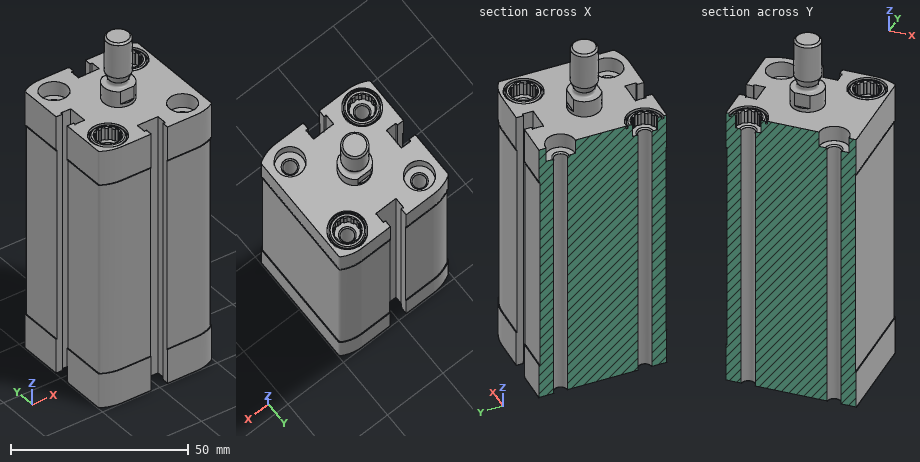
import cadquery as cq
import math

cap_width = 39.5
housing_height = 89.8
cap_height = 11.9
barrel_inset = 0.25

corner_arc_radius = 12.7
corner_arc_start = 13.0
cap_edge_fillet = 0.75
barrel_edge_fillet = 1.1

slot_mouth_width = 5.7
slot_inner_width = 7.2
side_slot_mouth_width = 5.3
side_slot_inner_width = 6.7
slot_depth = 5.6
slot_lip_depth = 2.25

hole_offset = 13.0
thread_bore_diameter = 4.13
thread_chamfer_diameter = 5.0
counterbore_diameter = 9.0
counterbore_depth = 4.8

groove_outer_diameter = 11.5
groove_inner_diameter = 10.5
groove_depth = 1.0
screw_head_chamfer = 0.4
spline_major_diameter = 7.94
spline_minor_diameter = 7.5
spline_lands = 12
spline_land_angle = 16.0
spline_entry_diameter = 8.4
spline_depth = 4.4

collar_diameter = 10.0
collar_height = 5.5
flat_across = 8.8
flat_start = 1.2
thread_diameter = 8.0
thread_length = 16.0
thread_tip_chamfer = 0.6
neck_diameter = 6.1
neck_length = 1.65
neck_fillet = 0.7
neck_cone_length = 2.35

half_cap = cap_width / 2


def rounded_prism(inset, edge_fillet, bottom, height):
    """Square column whose +Y and -Y faces roll off in large arcs towards the X faces."""
    half = half_cap - inset
    radius = corner_arc_radius - inset
    run = half - corner_arc_start
    arc_end = half - radius + math.sqrt(radius**2 - run**2)
    mid_angle = math.asin(run / radius) / 2
    mid_x = corner_arc_start + radius * math.sin(mid_angle)
    mid_y = half - radius + radius * math.cos(mid_angle)
    prism = (
        cq.Workplane("XY", origin=(0, 0, bottom))
        .moveTo(-corner_arc_start, half)
        .lineTo(corner_arc_start, half)
        .threePointArc((mid_x, mid_y), (half, arc_end))
        .lineTo(half, -arc_end)
        .threePointArc((mid_x, -mid_y), (corner_arc_start, -half))
        .lineTo(-corner_arc_start, -half)
        .threePointArc((-mid_x, -mid_y), (-half, -arc_end))
        .lineTo(-half, arc_end)
        .threePointArc((-mid_x, mid_y), (-corner_arc_start, half))
        .close()
        .extrude(height)
    )
    side_edges = prism.faces("<X or >X").edges("|Z")
    return side_edges.fillet(edge_fillet)


def t_slot(angle, mouth_width, inner_width):
    """Full-height cutter for one T-slot; angle 0 puts it on the -Y face."""
    outer_face = -half_cap
    lip = outer_face + slot_lip_depth
    floor = outer_face + slot_depth
    cutter = (
        cq.Workplane("XY")
        .moveTo(mouth_width / 2, outer_face)
        .lineTo(mouth_width / 2, lip)
        .lineTo(inner_width / 2, lip)
        .lineTo(inner_width / 2, floor)
        .lineTo(0, floor)
        .lineTo(0, outer_face)
        .close()
        .extrude(housing_height)
    )
    cutter = cutter.union(cutter.mirror("YZ"))
    return cutter.rotate((0, 0, 0), (0, 0, 1), angle)


def cylinder(diameter, bottom, top):
    return cq.Workplane("XY", origin=(0, 0, bottom)).circle(diameter / 2).extrude(top - bottom)


def cone(bottom_diameter, top_diameter, bottom, top):
    height = top - bottom
    solid = cq.Solid.makeCone(bottom_diameter / 2, top_diameter / 2, height, cq.Vector(0, 0, bottom))
    return cq.Workplane(obj=solid)


def threaded_bore(floor):
    """Through bore with a 45 degree chamfer at the given floor height."""
    chamfer = (thread_chamfer_diameter - thread_bore_diameter) / 2
    bore = cylinder(thread_bore_diameter, 0, floor)
    return bore.union(cone(thread_bore_diameter, thread_chamfer_diameter, floor - chamfer, floor))


def plain_hole():
    floor = housing_height - counterbore_depth
    return threaded_bore(floor).union(cylinder(counterbore_diameter, floor, housing_height))


def spline_socket(floor):
    """Twelve-land socket: a minor bore with keyways out to the major diameter."""
    socket = cylinder(spline_minor_diameter, floor, housing_height)
    blank = cylinder(spline_major_diameter, floor, housing_height)
    land_pitch = 360 / spline_lands
    key_width = spline_major_diameter * math.sin(math.radians(spline_land_angle / 2))
    key_bar = cq.Workplane("XY", origin=(0, 0, floor)).rect(2 * spline_major_diameter, key_width)
    key_bar = key_bar.extrude(spline_depth)
    for index in range(spline_lands // 2):
        bar_angle = (index + 0.5) * land_pitch
        socket = socket.union(blank.intersect(key_bar.rotate((0, 0, 0), (0, 0, 1), bar_angle)))
    return socket


def bearing_screw_hole():
    """Splined socket in a chamfered head, with a ring groove around the head."""
    floor = housing_height - spline_depth
    groove_floor = housing_height - groove_depth
    head = cylinder(groove_inner_diameter, groove_floor, housing_height).faces(">Z").chamfer(screw_head_chamfer)
    groove = cylinder(groove_outer_diameter, groove_floor, housing_height).cut(head)
    entry_depth = (spline_entry_diameter - spline_minor_diameter) / 2
    entry = cone(spline_minor_diameter, spline_entry_diameter, housing_height - entry_depth, housing_height)
    return threaded_bore(floor).union(spline_socket(floor)).union(entry).union(groove)


def build_housing():
    top_cap_bottom = housing_height - cap_height
    housing = (
        rounded_prism(0, cap_edge_fillet, 0, cap_height)
        .union(rounded_prism(barrel_inset, barrel_edge_fillet, cap_height, top_cap_bottom - cap_height))
        .union(rounded_prism(0, cap_edge_fillet, top_cap_bottom, cap_height))
    )
    for angle in (0, 180):
        housing = housing.cut(t_slot(angle, slot_mouth_width, slot_inner_width))
    housing = housing.cut(t_slot(-90, side_slot_mouth_width, side_slot_inner_width))
    for side in (-1, 1):
        housing = housing.cut(plain_hole().translate((side * hole_offset, -side * hole_offset, 0)))
        housing = housing.cut(bearing_screw_hole().translate((side * hole_offset, side * hole_offset, 0)))
    return housing


def build_rod():
    """Piston rod end standing on the housing: collar with flats, neck and thread."""
    collar_top = housing_height + collar_height
    neck_top = collar_top + neck_length
    cone_top = neck_top + neck_cone_length
    thread_top = collar_top + thread_length
    wrench_flats = (
        cq.Workplane("XY", origin=(0, 0, housing_height + flat_start))
        .rect(collar_diameter, flat_across)
        .extrude(collar_height - flat_start)
    )
    foot = cylinder(collar_diameter, housing_height, housing_height + flat_start)
    collar = cylinder(collar_diameter, housing_height, collar_top).intersect(foot.union(wrench_flats))
    thread = cylinder(thread_diameter, cone_top, thread_top).faces(">Z").chamfer(thread_tip_chamfer)
    neck = cylinder(neck_diameter, collar_top, neck_top)
    rod = collar.union(neck)
    neck_foot = rod.edges(cq.selectors.RadiusNthSelector(0)).edges("<Z")
    rod = neck_foot.fillet(neck_fillet)
    return rod.union(cone(neck_diameter, thread_diameter, neck_top, cone_top)).union(thread)


housing = build_housing()
rod = build_rod()
result = cq.Compound.makeCompound([housing.val(), rod.val()])